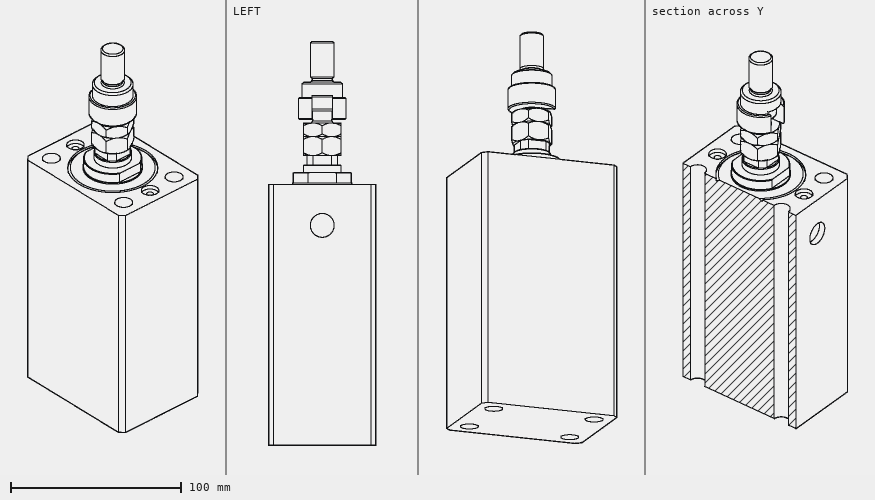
import cadquery as cq
import math

block_length = 85.0
block_width = 63.0
block_height = 153.0
corner_chamfer = 3.0

mount_hole_diameter = 10.5
mount_hole_spacing_x = 63.0
mount_hole_spacing_y = 40.0

bleed_spacing = 65.0
bleed_recess_diameter = 10.3
bleed_recess_depth = 2.5
bleed_hole_diameter = 4.0
bleed_hole_depth = 6.0

port_diameter = 14.0
port_depth = 4.0
port_below_top = 24.0

gland_radius = 26.4
groove_size = 1.5
collar_radius = 17.1
collar_height = 7.0
collar_chamfer = 0.4
collar_across_flats = 30.0
collar_lip_radius = 17.5
collar_lip_height = 0.8

rod_radius = 11.0
rod_chamfer = 0.5
rod_shoulder_height = 4.5
rod_flats_height = 5.5
rod_across_flats = 18.0

thread_diameter = 14.0
hex_across_flats = 22.0
hex_chamfer = 1.6
nut_height = 11.0
bolt_hex_height = 8.0
stem_radius = 5.7
stem_root_radius = 6.4
stem_root_height = 1.3
head_radius = 9.3
head_height = 9.0
head_chamfer = 1.0

coupler_gap = 2.0
flange_radius = 14.0
flange_height = 13.0
flange_chamfer = 0.7
disc_radius = 12.0
disc_height = 9.0
disc_chamfer = 1.2
slot_width = 12.0
slot_height = 14.2
neck_radius = 6.0
neck_root_radius = 6.8
neck_root_height = 1.0
neck_height = 2.1
stud_chamfer = 1.0
stud_length = 20.8

collar_top = block_height + collar_height
rod_shoulder = collar_top + rod_shoulder_height
rod_top = rod_shoulder + rod_flats_height
nut_top = rod_top + nut_height
bolt_hex_top = nut_top + bolt_hex_height
coupler_bottom = bolt_hex_top + coupler_gap
flange_top = coupler_bottom + flange_height
disc_top = flange_top + disc_height
stud_bottom = disc_top + neck_height
coupler_top = stud_bottom + stud_chamfer + stud_length
head_top = coupler_bottom + slot_height
head_bottom = head_top - head_height


def cylinder(radius, bottom, top):
    return cq.Workplane("XY").workplane(offset=bottom).circle(radius).extrude(top - bottom)


def revolved(profile):
    """Solid turned about Z from (radius, height) points."""
    return cq.Workplane("XZ").polyline(profile).close().revolve(360, (0, 0, 0), (0, 1, 0))


def square_bar(side_x, side_y, bottom, top):
    return cq.Workplane("XY").workplane(offset=bottom).rect(side_x, side_y).extrude(top - bottom)


def chamfered_hexagon(bottom, top):
    """Hexagon with flats facing +-Y and its corners turned off at both ends."""
    corner_radius = hex_across_flats / 2 / math.cos(math.radians(30))
    prism = (
        cq.Workplane("XY")
        .workplane(offset=bottom)
        .polygon(6, 2 * corner_radius)
        .extrude(top - bottom)
    )
    turned_blank = cylinder(corner_radius, bottom, top).faces("<Z or >Z").chamfer(hex_chamfer)
    return prism.intersect(turned_blank)


def make_housing():
    block = (
        cq.Workplane("XY")
        .rect(block_length, block_width)
        .extrude(block_height)
        .edges("|Z")
        .chamfer(corner_chamfer)
    )
    block = (
        block.faces(">Z")
        .workplane()
        .rect(mount_hole_spacing_x, mount_hole_spacing_y, forConstruction=True)
        .vertices()
        .hole(mount_hole_diameter)
    )
    block = (
        block.faces(">Z")
        .workplane()
        .pushPoints([(-bleed_spacing / 2, 0), (bleed_spacing / 2, 0)])
        .cboreHole(bleed_hole_diameter, bleed_recess_diameter, bleed_recess_depth, bleed_hole_depth)
    )
    port = (
        cq.Workplane("YZ")
        .workplane(offset=-block_length / 2)
        .center(0, block_height - port_below_top)
        .circle(port_diameter / 2)
        .extrude(port_depth)
    )
    groove = revolved([
        (gland_radius - groove_size, block_height),
        (gland_radius, block_height),
        (gland_radius, block_height - groove_size),
    ])
    collar = cylinder(collar_radius, block_height, collar_top).faces(">Z").chamfer(collar_chamfer)
    lip = cylinder(collar_lip_radius, block_height, block_height + collar_lip_height)
    flats = square_bar(collar_across_flats, 3 * collar_radius, block_height, collar_top)
    rod_bore = cylinder(rod_radius, block_height, collar_top)
    housing = block.cut(port).cut(groove)
    return housing.union(collar.intersect(flats)).union(lip).cut(rod_bore)


def make_rod():
    body = cylinder(rod_radius, block_height, rod_shoulder).faces(">Z").chamfer(rod_chamfer)
    wrench_end = cylinder(rod_radius - rod_chamfer, rod_shoulder, rod_top)
    wrench_end = wrench_end.intersect(
        square_bar(rod_across_flats, rod_across_flats, rod_shoulder, rod_top)
    )
    thread = cylinder(thread_diameter / 2, rod_shoulder, rod_top)
    return body.union(wrench_end).cut(thread)


def make_lock_nut():
    thread = cylinder(thread_diameter / 2, rod_top, nut_top)
    return chamfered_hexagon(rod_top, nut_top).cut(thread)


def make_head():
    return cylinder(head_radius, head_bottom, head_top).faces("<Z or >Z").chamfer(head_chamfer)


def make_t_bolt():
    thread = cylinder(thread_diameter / 2, rod_shoulder, nut_top)
    stem = revolved([
        (0, bolt_hex_top),
        (stem_root_radius, bolt_hex_top),
        (stem_radius, bolt_hex_top + stem_root_height),
        (stem_radius, head_bottom),
        (0, head_bottom),
    ])
    return chamfered_hexagon(nut_top, bolt_hex_top).union(thread).union(stem).union(make_head())


def make_coupler():
    flange = cylinder(flange_radius, coupler_bottom, flange_top).faces("<Z or >Z")
    flange = flange.chamfer(flange_chamfer)
    disc = cylinder(disc_radius, flange_top, disc_top).faces(">Z").chamfer(disc_chamfer)
    stud_radius = thread_diameter / 2
    stud = revolved([
        (0, disc_top),
        (neck_root_radius, disc_top),
        (neck_radius, disc_top + neck_root_height),
        (neck_radius, stud_bottom),
        (stud_radius, stud_bottom + stud_chamfer),
        (stud_radius, coupler_top - stud_chamfer),
        (stud_radius - stud_chamfer, coupler_top),
        (0, coupler_top),
    ])
    slot = (
        cq.Workplane("XY")
        .workplane(offset=coupler_bottom)
        .center(-flange_radius, 0)
        .slot2D(2 * flange_radius + slot_width, slot_width)
        .extrude(slot_height)
    )
    head_pocket = cylinder(head_radius, head_bottom, head_top)
    return flange.union(disc).union(stud).cut(slot).cut(head_pocket)


housing = make_housing()
rod = make_rod()
lock_nut = make_lock_nut()
t_bolt = make_t_bolt()
coupler = make_coupler()

result = cq.Compound.makeCompound(
    [housing.val(), rod.val(), lock_nut.val(), t_bolt.val(), coupler.val()]
)